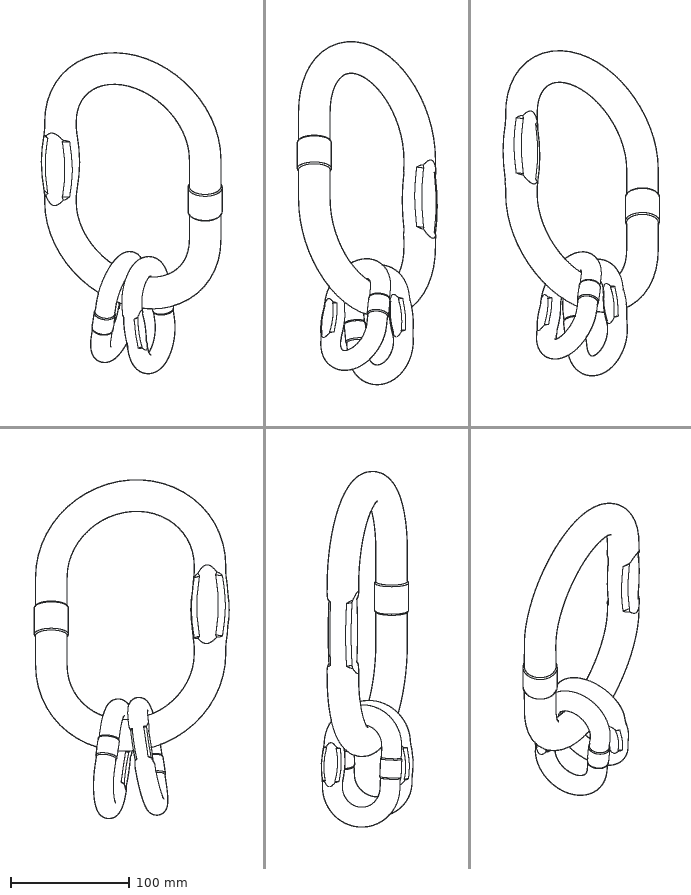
import cadquery as cq
import math

MASTER = dict(
    wire=27.0,
    inner_width=110.0,
    straight=80.0,
    sleeve=29.0,
    sleeve_length=26.3,
    sleeve_taper=1.2,
    barrel=32.7,
    barrel_length=70.2,
    flat_depth=10.3,
    flat_half_width=9.5,
    flat_length=54.5,
    flat_end_half_width=7.0,
    runout_length=71.5,
    bevel_depth=7.0,
    ramp_blend=6.0,
)

COUPLING = dict(
    wire=17.0,
    inner_width=34.2,
    straight=36.0,
    sleeve=18.0,
    sleeve_length=17.5,
    sleeve_taper=1.2,
    barrel=20.3,
    barrel_length=35.0,
    flat_depth=7.0,
    flat_half_width=6.0,
    flat_length=27.8,
    flat_end_half_width=4.2,
    runout_length=37.5,
    bevel_depth=5.0,
    ramp_blend=3.0,
)
COUPLING_TILT = 8.0
COUPLING_OFFSET = 14.8
COUPLING_DROP = 128.8


def arm_distance(link):
    """Distance from the link centre to the axis of each arm."""
    return (link["inner_width"] + link["wire"]) / 2


def bends(link):
    """The two half rings at the top and the bottom of a link."""
    reach = arm_distance(link)
    upper = (
        cq.Workplane("XY", origin=(-reach, 0, link["straight"] / 2))
        .circle(link["wire"] / 2)
        .revolve(180, (reach, 0, 0), (reach, 1, 0))
    )
    return upper, upper.mirror("XY")


def sleeve_arm(link):
    """The straight arm on +X, thickened by the weld sleeve at mid-length."""
    wire_radius = link["wire"] / 2
    sleeve_radius = link["sleeve"] / 2
    arm_end = link["straight"] / 2
    sleeve_end = link["sleeve_length"] / 2
    full_end = sleeve_end - link["sleeve_taper"]
    return (
        cq.Workplane("XZ")
        .moveTo(0, -arm_end)
        .lineTo(wire_radius, -arm_end)
        .lineTo(wire_radius, -sleeve_end)
        .lineTo(sleeve_radius, -full_end)
        .lineTo(sleeve_radius, full_end)
        .lineTo(wire_radius, sleeve_end)
        .lineTo(wire_radius, arm_end)
        .lineTo(0, arm_end)
        .close()
        .revolve(360, (0, 0, 0), (0, 1, 0))
        .translate((arm_distance(link), 0, 0))
    )


def barrel_arm(link):
    """The forged arm about the Z axis: two mirrored halves of a barrel that blends into the wire."""
    wire_radius = link["wire"] / 2
    barrel_radius = link["barrel"] / 2
    arm_end = link["straight"] / 2
    barrel_end = link["barrel_length"] / 2
    turn_height = link["flat_length"] / 2
    turn_radius = wire_radius + (barrel_radius - wire_radius) * (1 - turn_height / barrel_end)
    upper_half = (
        cq.Workplane("XZ")
        .lineTo(barrel_radius, 0)
        .spline(
            [(turn_radius, turn_height), (wire_radius, barrel_end)],
            tangents=[(0, 1), (0, 1)],
            includeCurrent=True,
        )
        .lineTo(wire_radius, arm_end)
        .lineTo(0, arm_end)
        .close()
        .revolve(360, (0, 0, 0), (0, 1, 0))
    )
    return upper_half.union(upper_half.mirror("XY"))


def flat_cutter(link):
    """Material above the +Y marking flat and its two end ramps."""
    depth = link["flat_depth"]
    flat_end = link["flat_length"] / 2
    ramp_length = link["runout_length"] / 2 - flat_end
    slope = (link["wire"] / 2 - depth) / ramp_length
    top = link["barrel"] / 2
    top_end = flat_end + (top - depth) / slope
    return (
        cq.Workplane("YZ")
        .polyline([(depth, -flat_end), (depth, flat_end), (top, top_end), (top, -top_end)])
        .close()
        .extrude(link["barrel"], both=True)
        .edges("|X")
        .edges("<Y")
        .fillet(link["ramp_blend"])
    )


def bevel_cutter(link):
    """Material outside the bevel between the +Y flat and the +X side of the barrel.

    The bevel follows the curved edge of the flat and slants down to the barrel, so the
    cutter is that edge's outline extruded along the slant.
    """
    barrel_radius = link["barrel"] / 2
    depth = link["flat_depth"]
    bevel_depth = link["bevel_depth"]
    middle = link["flat_half_width"]
    end = link["flat_end_half_width"]
    flat_end = link["flat_length"] / 2
    ramp_end = link["runout_length"] / 2
    outer = link["barrel"]
    foot = math.sqrt(barrel_radius ** 2 - bevel_depth ** 2)
    slant = cq.Vector((foot - middle) / (depth - bevel_depth), -1, 0)
    outline = (
        cq.Workplane("XZ", origin=(0, depth, 0))
        .moveTo(end, -flat_end)
        .threePointArc((middle, 0), (end, flat_end))
        .lineTo(barrel_radius, ramp_end)
        .lineTo(outer, ramp_end)
        .lineTo(outer, -ramp_end)
        .lineTo(barrel_radius, -ramp_end)
        .close()
    )
    start = cq.Face.makeFromWires(outline.val()).translate(slant * -barrel_radius)
    return cq.Workplane(cq.Solid.extrudeLinear(start, slant * (barrel_radius + depth)))


def forged_arm_cutters(link):
    """Flats and bevels on both faces of a forged arm that lies on the Z axis."""
    flat = flat_cutter(link)
    bevel = bevel_cutter(link)
    front = [flat, bevel, bevel.mirror("YZ")]
    return front + [cutter.mirror("XZ") for cutter in front]


def make_link(link):
    """One link in the XZ plane, with its sleeve on +X and its forged arm on -X."""
    arm_shift = (-arm_distance(link), 0, 0)
    body = barrel_arm(link).translate(arm_shift).union(sleeve_arm(link))
    for bend in bends(link):
        body = body.union(bend)
    for cutter in forged_arm_cutters(link):
        body = body.cut(cutter.translate(arm_shift))
    return body


master_link = make_link(MASTER)

left_coupling = (
    make_link(COUPLING)
    .rotate((0, 0, 0), (0, 0, 1), -90)
    .rotate((0, 0, 0), (0, 1, 0), COUPLING_TILT)
    .translate((-COUPLING_OFFSET, 0, -COUPLING_DROP))
)
coupling_links = []
for turn in (0, 180):
    coupling_links.append(left_coupling.rotate((0, 0, 0), (0, 0, 1), turn))

result = cq.Compound.makeCompound([master_link.val(), *[link.val() for link in coupling_links]])